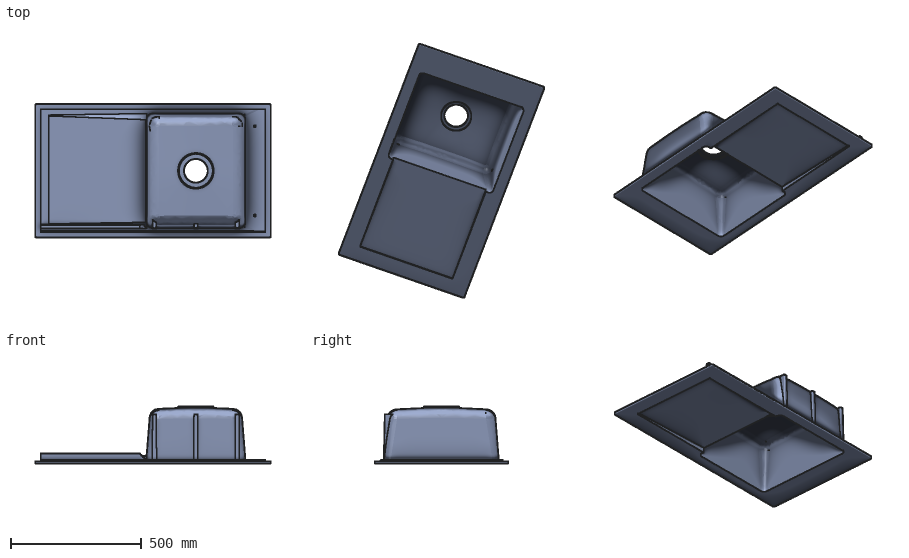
import cadquery as cq

rim_length = 902.1
rim_width = 512.38
rim_thickness = 9.0
rim_corner_radius = 6.0
rim_edge_radius = 3.0
panel_margin = 21.0
panel_length = rim_length - 2 * panel_margin
panel_width = rim_width - 2 * panel_margin
panel_top = 15.0
panel_front_bevel = 5.0
panel_end = panel_length / 2
panel_back = panel_width / 2
wall = 8.0

overall_height = 220.0
bowl_x = 164.0
bowl_half_length = 190.0
bowl_half_width = 219.5
bowl_base_corner_radius = 25.0
bowl_overlap = 2.0
wall_draft = 0.0787
corner_growth = 0.078
crown_height = 214.0
crown_radius = 2500.0
crown_edge_radius = 38.0

drain_diameter = 90.0
flange_diameter = 137.0
flange_edge_chamfer = 4.0
flange_height = 8.0
seat_diameter = 116.0
seat_top = overall_height - wall

rib_spacing = 158.5
rib_front = -221.5
rib_draft = 4.0
rib_depth = 60.0
rib_base_width = 16.5
rib_top_width = 14.0
rib_top = 189.0
rib_edge_radius = 3.0

drainer_start = -400.0
drainer_end = bowl_x - bowl_half_length + bowl_overlap
drainer_start_rise = 1.0
drainer_top = 30.0
drainer_start_front = -203.0
drainer_start_back = 210.0
drainer_start_foot = 213.5
drainer_end_front = -197.0
drainer_end_back = 195.5
drainer_foot = 219.0
corner_strip_length = 6.0
corner_strip_height = 4.0
corner_strip_sink = 2.0

ridge_foot_back = -204.0
ridge_top_back = -208.0
ridge_front = -222.0
ridge_front_draft = 2.0
ridge_top = 39.0
ridge_top_end = -51.0
ridge_foot_end = -27.0

tap_recess = 1.0
tap_bowl_edge = bowl_x + bowl_half_length - bowl_overlap
tap_floor_y_at_bowl = (137.0, 208.0)
tap_floor_y_at_end = 200.0
tap_floor_x_at_side = 409.0
tap_mouth_y_at_bowl = (64.0, 216.0)
tap_mouth_y_at_end = 161.0
tap_mouth_x_at_side = 391.0
tap_x = 390.0
tap_y = 171.0
tap_pilot_diameter = 8.0
tap_pilot_depth = 5.0


def rounded_section(half_length, half_width, radius, z):
    return (
        cq.Sketch()
        .rect(2 * half_length, 2 * half_width)
        .vertices()
        .fillet(radius)
        .moved(cq.Location(cq.Vector(bowl_x, 0, z)))
    )


def bowl_body(inset, bottom):
    """Tapered bowl with a domed top, its surface moved inward by inset, standing on Z = bottom."""
    sections = []
    for z in (bottom, overall_height):
        rise = z - panel_top
        shrink = inset + wall_draft * rise
        radius = bowl_base_corner_radius - inset + corner_growth * rise
        sections.append(rounded_section(bowl_half_length - shrink, bowl_half_width - shrink, radius, z))
    sides = cq.Workplane("XY").placeSketch(*sections).loft(ruled=True)
    crown_center = (bowl_x, 0, crown_height - crown_radius)
    crown = cq.Workplane("XZ", origin=crown_center).sphere(crown_radius - inset)
    return sides.intersect(crown).faces(">Z").edges().fillet(crown_edge_radius - inset)


def rim():
    plate = (
        cq.Workplane("XY")
        .rect(rim_length, rim_width)
        .extrude(rim_thickness)
        .edges("|Z")
        .fillet(rim_corner_radius)
        .faces("<Z")
        .edges()
        .fillet(rim_edge_radius)
    )
    panel = (
        cq.Workplane("XY")
        .rect(panel_length, panel_width)
        .extrude(panel_top)
        .faces("<Y")
        .edges(">Z")
        .chamfer(panel_front_bevel)
    )
    return plate.union(panel)


def loft_between(lower, upper):
    """Straight-sided solid between two closed outlines with matching corners."""
    wires = [cq.Wire.makePolygon([cq.Vector(*p) for p in outline], close=True) for outline in (lower, upper)]
    return cq.Workplane(obj=cq.Solid.makeLoft(wires, True))


def tap_area(side):
    """Shallow recess with sloped borders, on the back (side = 1) or the front (side = -1)."""

    def outline(y_at_bowl, y_at_end, x_at_side, z):
        inner_y, outer_y = y_at_bowl
        points = [
            (tap_bowl_edge, inner_y),
            (panel_end, y_at_end),
            (panel_end, panel_back),
            (x_at_side, panel_back),
            (tap_bowl_edge, outer_y),
        ]
        return [(x, side * y, z) for x, y in points]

    recess = loft_between(
        outline(tap_floor_y_at_bowl, tap_floor_y_at_end, tap_floor_x_at_side, panel_top - tap_recess),
        outline(tap_mouth_y_at_bowl, tap_mouth_y_at_end, tap_mouth_x_at_side, panel_top),
    )
    pilot = (
        cq.Workplane("XY", origin=(tap_x, side * tap_y, panel_top - tap_pilot_depth))
        .circle(tap_pilot_diameter / 2)
        .extrude(tap_pilot_depth)
    )
    return recess.union(pilot)


def drainer_wedge():
    start_top = panel_top + drainer_start_rise
    start = [
        (drainer_start, drainer_start_front, panel_top),
        (drainer_start, drainer_start_foot, panel_top),
        (drainer_start, drainer_start_back, start_top),
        (drainer_start, drainer_start_front, start_top),
    ]
    end = [
        (drainer_end, -drainer_foot, panel_top),
        (drainer_end, drainer_foot, panel_top),
        (drainer_end, drainer_end_back, drainer_top),
        (drainer_end, drainer_end_front, drainer_top),
    ]
    return loft_between(start, end)


def corner_strip():
    """Bevelled strip filling the corner where the drainer meets the bowl wall."""
    foot_z = drainer_top - corner_strip_sink
    return (
        cq.Workplane("XZ", origin=(0, drainer_end_back, 0))
        .polyline([
            (drainer_end - corner_strip_length, foot_z),
            (drainer_end, drainer_top + corner_strip_height),
            (drainer_end, foot_z),
        ])
        .close()
        .extrude(drainer_end_back - drainer_end_front)
    )


def drainer_hollow():
    """Sloping floor of the drainer, one wall thickness below its outside, running out into the bowl."""
    start_x = drainer_start + wall
    end_x = drainer_end + 2 * wall
    front = drainer_end_front + wall
    back = drainer_end_back - wall
    return (
        cq.Workplane("XZ", origin=(0, back, 0))
        .polyline([
            (start_x, 0),
            (start_x, panel_top - wall),
            (end_x, drainer_top - wall),
            (end_x, 0),
        ])
        .close()
        .extrude(back - front)
    )


def ridge():
    def outline(end, front, back, z):
        return [(-panel_end, front, z), (end, front, z), (end, back, z), (-panel_end, back, z)]

    return loft_between(
        outline(ridge_foot_end, ridge_front, ridge_foot_back, panel_top),
        outline(ridge_top_end, ridge_front + ridge_front_draft, ridge_top_back, ridge_top),
    )


def rib(x):
    back = rib_front + rib_depth

    def outline(width, front, z):
        return [
            (x - width / 2, front, z),
            (x + width / 2, front, z),
            (x + width / 2, back, z),
            (x - width / 2, back, z),
        ]

    body = loft_between(
        outline(rib_base_width, rib_front, rim_thickness),
        outline(rib_top_width, rib_front + rib_draft, rib_top),
    )
    return body.faces("<Y").edges("not <Z").fillet(rib_edge_radius)


def drain_flange():
    return (
        cq.Workplane("XY", origin=(bowl_x, 0, overall_height - flange_height))
        .circle(flange_diameter / 2)
        .extrude(flange_height)
        .faces(">Z")
        .chamfer(flange_edge_chamfer)
    )


def drain_opening():
    hole = cq.Workplane("XY", origin=(bowl_x, 0, 0)).circle(drain_diameter / 2).extrude(overall_height)
    seat = cq.Workplane("XY", origin=(bowl_x, 0, 0)).circle(seat_diameter / 2).extrude(seat_top)
    return hole.union(seat)


sink = rim()
for side in (-1, 1):
    sink = sink.cut(tap_area(side))
sink = sink.union(drainer_wedge()).union(ridge())
sink = sink.union(bowl_body(0, rim_thickness)).union(corner_strip())
for position in (-1, 0, 1):
    sink = sink.union(rib(bowl_x + position * rib_spacing))
sink = sink.union(drain_flange())

result = sink.cut(bowl_body(wall, 0)).cut(drainer_hollow()).cut(drain_opening())